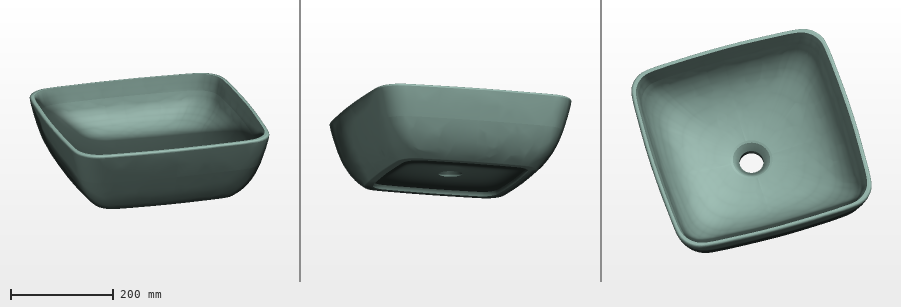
import cadquery as cq
import math

height = 135.0
rim_outer_radius = 4.0
foot_edge_radius = 3.0
outer_seam_height = 73.0
bowl_seam_height = 105.0

square_shape = (8.8, 0.245)

foot_half_width = 147.0
outer_profile = [
    (foot_half_width, 0.0),
    (159.5, 12.0),
    (170.0, 26.0),
    (181.0, 46.0),
    (191.2, outer_seam_height),
    (199.9, 104.0),
    (205.45, height),
]

drain_ring_radius = 41.0
drain_ring_height = 32.0
cone_top_radius = 36.5
cone_top_height = 31.0
hole_radius = 23.5
hole_top_height = 20.5

bowl_profile = [
    (drain_ring_radius, drain_ring_height, (1.01, 0.98)),
    (90.0, 38.5, (1.4, 0.65)),
    (130.0, 49.5, (2.2, 0.5)),
    (157.0, 64.0, (4.0, 0.39)),
    (175.0, 82.0, (6.5, 0.3)),
    (187.5, bowl_seam_height, square_shape),
    (197.3, height, square_shape),
]

foot_width = 15.0
recess_depth = 9.0

side_steps = 3
corner_steps = 6
cut_margin = 5.0


def quarter_points(half_width, shape):
    """Points from mid-side on +X, round the tangent corner arc, to mid-side on +Y."""
    side_radius = shape[0] * half_width
    corner_radius = shape[1] * half_width
    side_center = half_width - side_radius
    gap = side_radius - corner_radius
    corner_center = (side_center + math.sqrt(2 * gap**2 - side_center**2)) / 2
    touch_angle = math.asin(corner_center / gap)

    side = []
    for i in range(side_steps):
        angle = touch_angle * i / side_steps
        side.append((side_center + side_radius * math.cos(angle), side_radius * math.sin(angle)))
    corner = []
    for i in range(corner_steps + 1):
        angle = touch_angle + (math.pi / 2 - 2 * touch_angle) * i / corner_steps
        x = corner_center + corner_radius * math.cos(angle)
        y = corner_center + corner_radius * math.sin(angle)
        corner.append((x, y))
    mirrored_side = [(y, x) for x, y in reversed(side)]
    return side + corner + mirrored_side


def outline(half_width, z, shape):
    """Closed wire at height z, one smooth spline per quarter from mid-side to mid-side."""
    points = [cq.Vector(x, y, z) for x, y in quarter_points(half_width, shape)]
    quarter = cq.Edge.makeSpline(points, tangents=[cq.Vector(0, 1, 0), cq.Vector(-1, 0, 0)])
    axis_start = cq.Vector(0, 0, 0)
    axis_end = cq.Vector(0, 0, 1)
    return cq.Wire.assembleEdges([quarter.rotate(axis_start, axis_end, 90 * turn) for turn in range(4)])


def loft_halves(sections, seam_height):
    """Lower and upper part of one smooth loft, divided by a level seam."""
    loft = cq.Workplane(obj=cq.Solid.makeLoft(sections))
    block_size = 4 * height
    lower_block = cq.Workplane("XY", origin=(0, 0, seam_height - block_size / 2)).box(
        block_size, block_size, block_size
    )
    return loft.intersect(lower_block, clean=False), loft.cut(lower_block, clean=False)


def make_outer_body():
    sections = [outline(half_width, z, square_shape) for half_width, z in outer_profile]
    lower, upper = loft_halves(sections, outer_seam_height)
    lower = lower.faces("<Z").edges().fillet(foot_edge_radius)
    upper = upper.faces(">Z").edges().fillet(rim_outer_radius)
    return lower.union(upper, clean=False)


def make_bowl_halves():
    sections = [outline(half_width, z, shape) for half_width, z, shape in bowl_profile]
    return loft_halves(sections, bowl_seam_height)


def make_drain():
    """Revolved ring, cone and hole, open below."""
    return (
        cq.Workplane("XZ")
        .moveTo(0, -cut_margin)
        .lineTo(hole_radius, -cut_margin)
        .lineTo(hole_radius, hole_top_height)
        .lineTo(cone_top_radius, cone_top_height)
        .lineTo(drain_ring_radius, drain_ring_height)
        .lineTo(0, drain_ring_height)
        .close()
        .revolve(360)
    )


def make_foot_recess():
    recess_outline = outline(foot_half_width - foot_width, 0, square_shape)
    recess = cq.Solid.extrudeLinear(recess_outline, [], cq.Vector(0, 0, recess_depth))
    return cq.Workplane(obj=recess)


basin = make_outer_body()
for bowl_half in make_bowl_halves():
    basin = basin.cut(bowl_half, clean=False)
basin = basin.cut(make_drain(), clean=False)
basin = basin.cut(make_foot_recess(), clean=False)
result = cq.Workplane(obj=basin.solids().val())